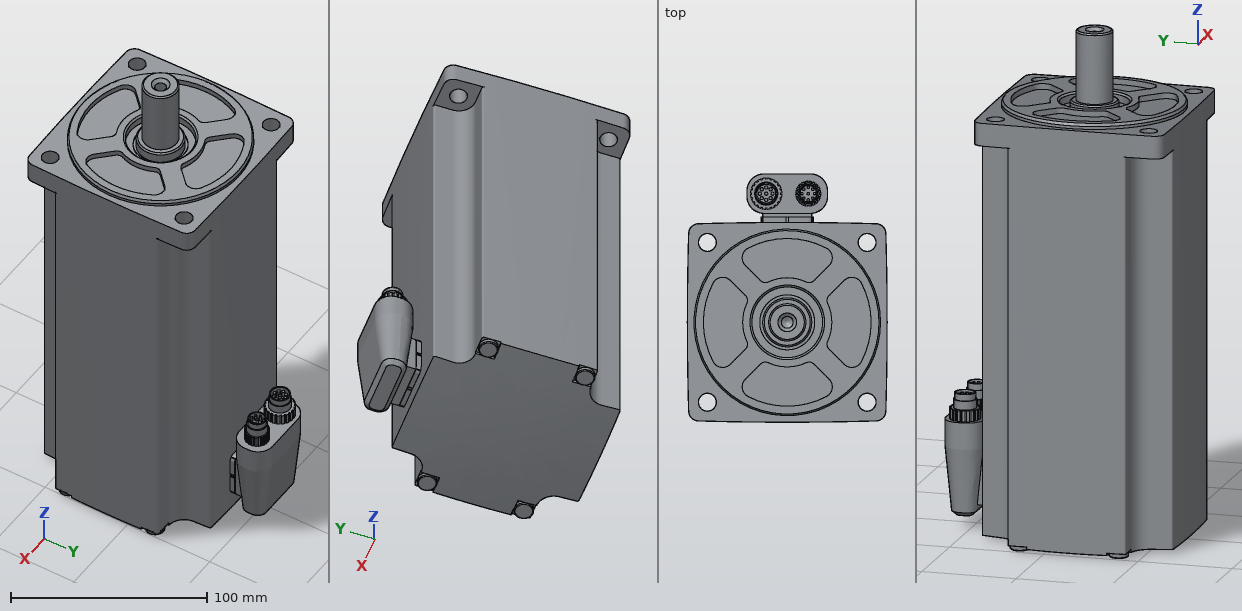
import cadquery as cq
import math


side_half_width = 50.91
side_bulge = 0.8
corner_radius = 5.2
flange_thickness = 12.0
bolt_circle_diameter = 115.0
bolt_hole_diameter = 9.0
bolt_offset = bolt_circle_diameter / 2 / math.sqrt(2)
motor_length = 224.72
rear_dome_radius = 765.0
panel_half_width = 31.3
notch_radius = 9.0
panel_edge_radius = 1.0

foot_diameter = 10.0
foot_x = 45.5
foot_y = 26.2
foot_top = -221.5
foot_bottom = -224.0
foot_chamfer = 0.5

pilot_diameter = 95.0
pilot_height = 3.0
pilot_chamfer_width = 0.8
pilot_chamfer_height = 1.5
pocket_outer_radius = 42.7
pocket_inner_radius = 22.7
rib_width = 10.8
pocket_outer_fillet = 5.5
pocket_inner_fillet = 3.5

recess_diameter = 36.0
recess_floor = -2.0
recess_chamfer = 1.0
collar_diameter = 25.0
collar_chamfer = 0.8
collar_groove_diameter = 28.0
collar_groove_depth = 1.0
shaft_diameter = 19.0
shaft_length = 40.0
shaft_chamfer = 0.8
center_hole_diameter = 6.0
center_hole_mouth_diameter = 9.5
center_hole_depth = 16.0
center_hole_mouth_depth = 1.75
drill_tip_angle = 118.0

connector_y = 65.5
connector_width = 41.2
connector_outer_y = 75.59
connector_depth = 2 * (connector_outer_y - connector_y)
connector_end_flat = 2.6
connector_top = -167.0
taper_start = -181.2
taper_end = -215.2
connector_bottom = -217.4
taper_end_width = 35.0
taper_end_depth = 13.2
bottom_width = 30.0
bottom_depth = 8.2
base_width = 26.6
base_height = 26.0
base_center_z = -199.4
base_corner_radius = 3.0
base_front_y = 53.5
base_groove_width = 1.4
base_groove_depth = 0.4
neck_width = 25.0
neck_height = 24.6

plug_offset = 10.7
knurl_height = 5.7
sleeve_height = 4.6
nose_height = 3.4
knurl_count = 20
knurl_groove_width = 0.8
power_knurl_diameter = 16.0
power_knurl_root_diameter = 14.77
power_sleeve_diameter = 11.8
power_nose_diameter = 10.77
power_bore_diameter = 9.5
power_pin_diameter = 1.65
power_pin_circle = 6.4
power_pin_count = 8
signal_knurl_diameter = 12.8
signal_knurl_root_diameter = 11.8
signal_sleeve_diameter = 10.77
signal_nose_diameter = 9.5
signal_bore_diameter = 8.4
signal_pin_diameter = 1.25
signal_pin_circle = 6.4
signal_pin_count = 8
plug_bore_depth = 4.0
pin_length = 3.0


def disc(diameter, bottom, top):
    """Cylinder on the motor axis between two heights."""
    return cq.Workplane("XY").workplane(offset=bottom).circle(diameter / 2).extrude(top - bottom)


def bulged_square(bottom, top):
    """Square prism with slightly convex sides."""
    crest = side_half_width
    corner = side_half_width - side_bulge
    return (
        cq.Workplane("XY").workplane(offset=bottom)
        .moveTo(-corner, -corner)
        .threePointArc((0, -crest), (corner, -corner))
        .threePointArc((crest, 0), (corner, corner))
        .threePointArc((0, crest), (-corner, corner))
        .threePointArc((-crest, 0), (-corner, -corner))
        .close()
        .extrude(top - bottom)
    )


def make_flange():
    flange = bulged_square(-flange_thickness, 0).edges("|Z").fillet(corner_radius)
    holes = (
        cq.Workplane("XY")
        .rect(2 * bolt_offset, 2 * bolt_offset, forConstruction=True)
        .vertices()
        .circle(bolt_hole_diameter / 2)
        .extrude(-flange_thickness)
    )
    return flange.cut(holes)


def make_housing():
    """Housing with a rounded notch along each corner and a shallow domed rear end."""
    housing = bulged_square(-motor_length, -flange_thickness)
    notch_size = 2 * (side_half_width - panel_half_width)
    notches = (
        cq.Workplane("XY").workplane(offset=-motor_length)
        .rect(2 * side_half_width, 2 * side_half_width, forConstruction=True)
        .vertices()
        .rect(notch_size, notch_size)
        .extrude(motor_length - flange_thickness)
        .edges("|Z")
        .fillet(notch_radius)
    )
    outer_corner = side_half_width - side_bulge
    margin = 2 * panel_edge_radius
    housing = housing.cut(notches)
    for x_sign in (-1, 1):
        for y_sign in (-1, 1):
            corners = [(outer_corner, panel_half_width), (panel_half_width, outer_corner)]
            for x, y in corners:
                edge = cq.selectors.BoxSelector(
                    (x_sign * (x - margin), y_sign * (y - margin), -motor_length),
                    (x_sign * (x + margin), y_sign * (y + margin), 0),
                )
                housing = housing.edges("|Z").edges(edge).fillet(panel_edge_radius)
    dome = cq.Workplane("XY").sphere(rear_dome_radius).translate((0, 0, rear_dome_radius - motor_length))
    return housing.intersect(dome)


def make_foot_pockets():
    """Rear clearance around the feet, open towards the housing sides and the corner notches."""
    pocket_x = side_half_width - (foot_x - foot_diameter / 2)
    pocket_y = panel_half_width - (foot_y - foot_diameter / 2)
    return (
        cq.Workplane("XY").workplane(offset=-motor_length)
        .rect(2 * side_half_width - pocket_x, 2 * panel_half_width - pocket_y, forConstruction=True)
        .vertices()
        .rect(pocket_x, pocket_y)
        .extrude(foot_top + motor_length)
    )


def make_feet():
    return (
        cq.Workplane("XY").workplane(offset=foot_bottom)
        .rect(2 * foot_x, 2 * foot_y, forConstruction=True)
        .vertices()
        .circle(foot_diameter / 2)
        .extrude(foot_top - foot_bottom)
        .faces("<Z").edges()
        .chamfer(foot_chamfer)
    )


def make_pocket():
    """Rounded sector pocket in the pilot, centred on +X."""
    ring = disc(2 * pocket_outer_radius, 0, pilot_height).cut(disc(2 * pocket_inner_radius, 0, pilot_height))
    apex = rib_width / 2 * math.sqrt(2)
    reach = pilot_diameter
    sector = (
        cq.Workplane("XY")
        .polyline([(apex, 0), (apex + reach, reach), (apex + reach, -reach)])
        .close()
        .extrude(pilot_height)
    )
    split_x = (pocket_inner_radius + pocket_outer_radius) / 2 / math.sqrt(2)
    inner_side = cq.selectors.BoxSelector((0, -reach, 0), (split_x, reach, pilot_height))
    outer_side = cq.selectors.BoxSelector((split_x, -reach, 0), (reach, reach, pilot_height))
    pocket = ring.intersect(sector)
    pocket = pocket.edges("|Z").edges(outer_side).fillet(pocket_outer_fillet)
    return pocket.edges("|Z").edges(inner_side).fillet(pocket_inner_fillet)


def make_pilot():
    pilot = disc(pilot_diameter, 0, pilot_height)
    pilot = pilot.faces(">Z").edges().chamfer(pilot_chamfer_height, pilot_chamfer_width)
    pocket = make_pocket()
    for quarter in range(4):
        pilot = pilot.cut(pocket.rotate((0, 0, 0), (0, 0, 1), 90 * quarter))
    return pilot


def make_shaft_recess():
    recess = disc(recess_diameter, recess_floor, pilot_height)
    mouth = (
        cq.Workplane("XY").workplane(offset=pilot_height)
        .circle(recess_diameter / 2 + recess_chamfer)
        .workplane(offset=-recess_chamfer)
        .circle(recess_diameter / 2)
        .loft()
    )
    groove = disc(collar_groove_diameter, recess_floor - collar_groove_depth, recess_floor)
    return recess.union(mouth).union(groove)


def make_shaft():
    root = recess_floor - collar_groove_depth
    collar = disc(collar_diameter, root, pilot_height).faces(">Z").edges().chamfer(collar_chamfer)
    shaft = disc(shaft_diameter, root, shaft_length).faces(">Z").edges().chamfer(shaft_chamfer)
    mouth = (
        cq.Workplane("XY").workplane(offset=shaft_length)
        .circle(center_hole_mouth_diameter / 2)
        .workplane(offset=-center_hole_mouth_depth)
        .circle(center_hole_diameter / 2)
        .loft()
    )
    tip_depth = center_hole_diameter / 2 / math.tan(math.radians(drill_tip_angle / 2))
    hole_floor = shaft_length - center_hole_depth
    hole = disc(center_hole_diameter, hole_floor, shaft_length)
    tip = cq.Workplane(obj=cq.Solid.makeCone(0, center_hole_diameter / 2, tip_depth))
    tip = tip.translate((0, 0, hole_floor - tip_depth))
    return collar.union(shaft).cut(hole).cut(mouth).cut(tip)


def rounded_section(width, depth):
    """Rounded rectangle whose short ends keep a flat of fixed length."""
    radius = (depth - connector_end_flat) / 2
    return cq.Sketch().rect(width, depth).vertices().fillet(radius)


def tapered_block(lower_section, lower_z, upper_section, upper_z):
    """Straight-sided taper between two sections centred on the connector axis."""
    raised_section = upper_section.moved(cq.Location(cq.Vector(0, 0, upper_z - lower_z)))
    workplane = cq.Workplane("XY", origin=(0, connector_y, lower_z))
    return workplane.placeSketch(lower_section, raised_section).loft(ruled=True)


def make_connector_body():
    full = rounded_section(connector_width, connector_depth)
    narrow = rounded_section(taper_end_width, taper_end_depth)
    bottom = rounded_section(bottom_width, bottom_depth)
    body = (
        cq.Workplane("XY", origin=(0, connector_y, taper_start))
        .placeSketch(full)
        .extrude(connector_top - taper_start)
    )
    taper = tapered_block(narrow, taper_end, full, taper_start)
    bevel = tapered_block(bottom, connector_bottom, narrow, taper_end)
    return body.union(taper).union(bevel)


def make_connector_base():
    """Rounded square base with a centre groove on each edge, and the neck joining it to the connector."""
    base_back_y = side_half_width - side_bulge
    base_length = base_front_y - base_back_y
    base = (
        cq.Workplane("XY")
        .box(base_width, base_length, base_height, centered=(True, False, True))
        .edges("|Y").fillet(base_corner_radius)
    )
    core_width = base_width - 2 * base_groove_depth
    core_height = base_height - 2 * base_groove_depth
    groove_size = (base_groove_width, base_length, base_groove_width)
    groove = cq.Workplane("XY").box(*groove_size, centered=(True, False, True))
    for side in (-1, 1):
        base = base.cut(groove.translate((side * (core_width + base_groove_width) / 2, 0, 0)))
        base = base.cut(groove.translate((0, 0, side * (core_height + base_groove_width) / 2)))
    neck = cq.Workplane("XY").box(
        neck_width, connector_y - base_back_y, neck_height, centered=(True, False, True))
    return base.union(neck).translate((0, base_back_y, base_center_z))


def make_plug(knurl, root, sleeve, nose, bore, pin, pin_circle, pin_count):
    """Stepped round plug standing on Z = 0; arguments are diameters except the pin count."""
    sleeve_top = knurl_height + sleeve_height
    plug_top = sleeve_top + nose_height
    plug = disc(knurl, 0, knurl_height).union(disc(sleeve, 0, sleeve_top)).union(disc(nose, 0, plug_top))
    groove_depth = (knurl - root) / 2
    for index in range(knurl_count):
        groove = (
            cq.Workplane("XY")
            .center(root / 2 + groove_depth, 0)
            .rect(2 * groove_depth, knurl_groove_width)
            .extrude(knurl_height)
        )
        plug = plug.cut(groove.rotate((0, 0, 0), (0, 0, 1), 360 / knurl_count * index))
    bore_floor = plug_top - plug_bore_depth
    plug = plug.cut(disc(bore, bore_floor, plug_top))
    pins = (
        cq.Workplane("XY").workplane(offset=bore_floor)
        .polarArray(pin_circle / 2, 0, 360, pin_count)
        .circle(pin / 2)
        .extrude(pin_length)
    )
    return plug.union(pins).union(disc(pin, bore_floor, bore_floor + pin_length))


def make_plugs():
    power_plug = make_plug(
        power_knurl_diameter, power_knurl_root_diameter, power_sleeve_diameter, power_nose_diameter,
        power_bore_diameter, power_pin_diameter, power_pin_circle, power_pin_count,
    ).translate((-plug_offset, connector_y, connector_top))
    signal_plug = make_plug(
        signal_knurl_diameter, signal_knurl_root_diameter, signal_sleeve_diameter, signal_nose_diameter,
        signal_bore_diameter, signal_pin_diameter, signal_pin_circle, signal_pin_count,
    ).translate((plug_offset, connector_y, connector_top))
    return power_plug.union(signal_plug)


motor = make_housing().cut(make_foot_pockets()).union(make_feet()).union(make_flange()).union(make_pilot())
motor = motor.cut(make_shaft_recess()).union(make_shaft())
connector = make_connector_body().union(make_connector_base()).union(make_plugs())
result = motor.union(connector)